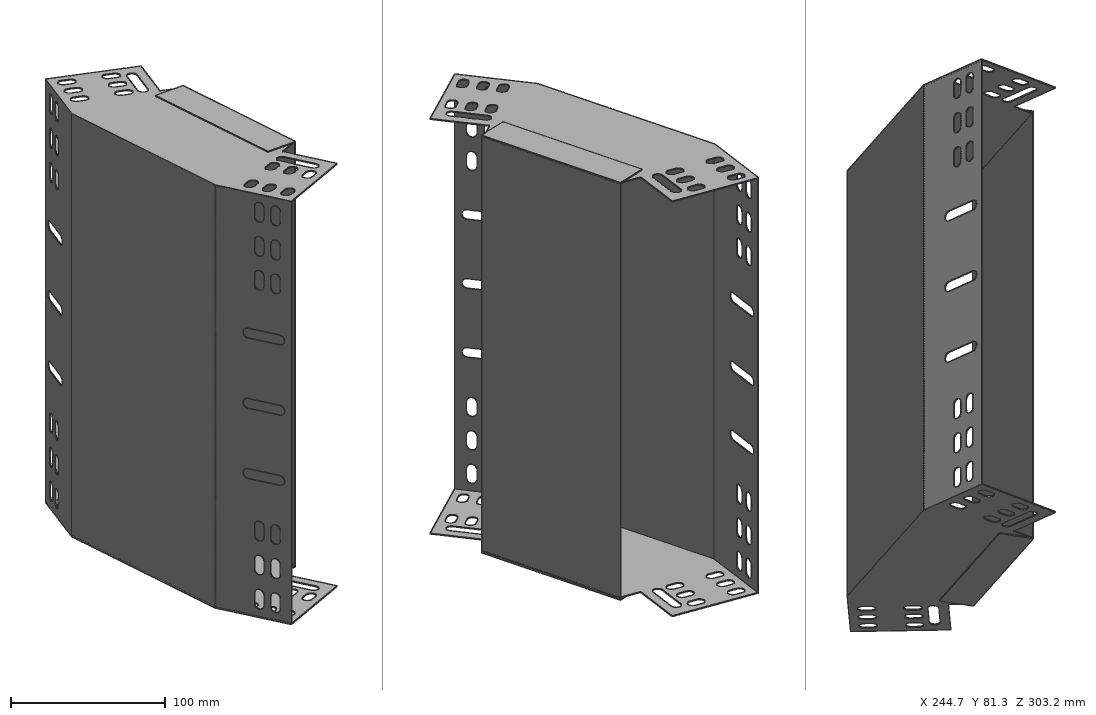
import cadquery as cq
import math

total_width = 244.7
total_depth = 81.3
total_height = 303.2
sheet = 0.8

bend_angle = 22.5
wing_length = 55.2
flange_width = 65.0
flange_step_length = 39.7
tray_height = total_height - 2 * sheet
tray_depth = total_depth - sheet

cover_width = 112.0
cover_lip = 23.3

wing_slot_length = 14.0
wing_slot_width = 7.0
wing_slot_columns = (11.5, 23.3)
wing_slot_margin = 13.0
wing_slot_pitch = 24.3
wing_slot_rows = 3

long_slot_length = 30.0
long_slot_width = 7.0
wing_long_slot_place = 20.0
wing_long_slot_pitch = 50.0
wing_long_slot_count = 3
flange_long_slot_place = (23.3, 55.0)

flange_slot_length = 12.0
flange_slot_width = 7.0
flange_slot_first = 8.5
flange_slot_pitch = 13.3
flange_slot_columns = 3
flange_slot_rows = (11.8, 41.8)

sin_bend = math.sin(math.radians(bend_angle))
cos_bend = math.cos(math.radians(bend_angle))
half_width = total_width / 2
wing_rise = wing_length * sin_bend
half_floor = half_width - wing_length * cos_bend


def wing_point(along, inward):
    """XY point on the left wing: distance from its free end, and from its outer face."""
    x = -half_width + along * cos_bend + inward * sin_bend
    y = wing_rise - along * sin_bend + inward * cos_bend
    return (x, y)


def symmetric_prism(left_points, height):
    """Prism along Z, centred on Z = 0, from the left half of an outline symmetric about X = 0."""
    right_points = [(-x, y) for x, y in reversed(left_points)]
    return cq.Workplane("XY").polyline(left_points + right_points).close().extrude(height / 2, both=True)


def flange_outline():
    """Left half of the flange, from the raised middle part round to the floor bend."""
    notch = wing_point(flange_step_length, flange_width)
    step_top_x = notch[0] + (tray_depth - notch[1]) * sin_bend / cos_bend
    return [
        (step_top_x, tray_depth),
        notch,
        wing_point(0, flange_width),
        wing_point(0, 0),
        (-half_floor, 0),
    ]


def cavity_outline():
    """Left half of the space between the flanges, one sheet thickness inside floor and wings."""
    bend_shift = sheet * math.tan(math.radians(bend_angle / 2))
    overrun = -flange_width
    return [
        (wing_point(overrun, sheet)[0], 2 * total_depth),
        wing_point(overrun, sheet),
        (-half_floor + bend_shift, sheet),
    ]


def wing_slots():
    """Cutters for the slots through the left wing."""
    origin_x, origin_y = wing_point(0, 0)
    wing_face = cq.Workplane(cq.Plane(
        origin=(origin_x, origin_y, 0),
        xDir=(cos_bend, -sin_bend, 0),
        normal=(-sin_bend, -cos_bend, 0),
    ))
    first_row = tray_height / 2 - wing_slot_margin
    row_heights = [first_row - row * wing_slot_pitch for row in range(wing_slot_rows)]
    short_places = [
        (column, end * height)
        for column in wing_slot_columns
        for height in row_heights
        for end in (-1, 1)
    ]
    middle = (wing_long_slot_count - 1) / 2
    long_places = [
        (wing_long_slot_place, (index - middle) * wing_long_slot_pitch)
        for index in range(wing_long_slot_count)
    ]
    slots = wing_face.pushPoints(short_places).slot2D(wing_slot_length, wing_slot_width, 90)
    slots = slots.pushPoints(long_places).slot2D(long_slot_length, long_slot_width)
    return slots.extrude(2 * sheet, both=True)


def flange_slots():
    """Cutters for the slots through both flanges on the left side."""
    short_places = [
        wing_point(flange_slot_first + column * flange_slot_pitch, row)
        for column in range(flange_slot_columns)
        for row in flange_slot_rows
    ]
    long_place = wing_point(*flange_long_slot_place)
    slots = cq.Workplane("XY").pushPoints(short_places)
    slots = slots.slot2D(flange_slot_length, flange_slot_width, 90 - bend_angle)
    slots = slots.pushPoints([long_place]).slot2D(long_slot_length, long_slot_width, -bend_angle)
    return slots.extrude(total_height / 2, both=True)


def make_tray():
    body = symmetric_prism(flange_outline(), tray_height)
    body = body.cut(symmetric_prism(cavity_outline(), tray_height - 2 * sheet))
    for left_cutters in (wing_slots(), flange_slots()):
        body = body.cut(left_cutters).cut(left_cutters.mirror("YZ"))
    return body


def make_cover():
    outer = cq.Workplane("XY").box(cover_width, cover_lip, total_height)
    inner = cq.Workplane("XY").box(cover_width, cover_lip, tray_height).translate((0, -sheet, 0))
    return outer.cut(inner).translate((0, total_depth - cover_lip / 2, 0))


tray = make_tray()
cover = make_cover()

result = cq.Compound.makeCompound([tray.val(), cover.val()])